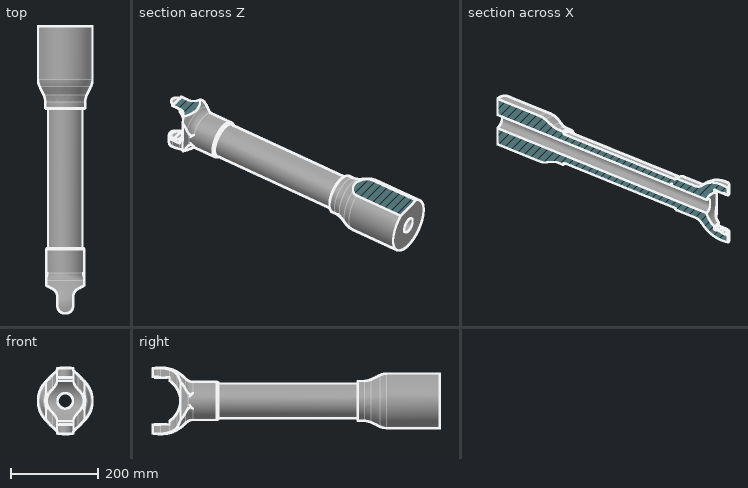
import cadquery as cq
import math


total_length = 659.5
bore_diameter = 35.0

ear_radius = 18.5
dome_radius = 77.0
ear_inner_height = 54.0
ear_step_y = 20.0
pad_diameter = 26.0
pad_height = 1.0

throat_radius = 55.0
throat_offset = 10.0
flank_angle = 28.0
flank_fillet = 20.5

socket_radius = 88.0 / 2
socket_end_y = 132.5
socket_chamfer_length = 4.0
socket_chamfer_depth = 2.0
root_fillet = 23.0
fade_slope = 3.5

tube_radius = 80.0 / 2
collar_radius = 92.0 / 2
collar_chamfer = 2.0
cup_radius = 126.0 / 2
cup_end_y = total_length - ear_radius
cup_length = 130.5
head_length = 189.5
collar_start_y = cup_end_y - head_length
cone_end_y = cup_end_y - cup_length
cone_angle = 26.0
cone_fillet = 36.0
cone_start_y = cone_end_y - (cup_radius - collar_radius) / math.tan(math.radians(cone_angle))


def rod(radius, y_start, y_end):
    """Solid cylinder on the Y axis."""
    return cq.Workplane("XZ", origin=(0, y_start, 0)).circle(radius).extrude(y_start - y_end)


def make_cup():
    """Collar, blended cone and cup."""
    profile = (
        cq.Workplane("XY")
        .moveTo(0, collar_start_y)
        .lineTo(collar_radius, collar_start_y)
        .lineTo(collar_radius, cone_start_y)
        .lineTo(cup_radius, cone_end_y)
        .lineTo(cup_radius, cup_end_y)
        .lineTo(0, cup_end_y)
        .close()
    )
    cup = profile.revolve(360, (0, 0, 0), (0, 1, 0))
    cup = cup.edges("%CIRCLE").edges("not(<Y or >Y)").fillet(cone_fillet)
    return cup.faces("<Y").edges().chamfer(collar_chamfer)


def make_socket():
    """Cylindrical fork socket with a tapered rim where it meets the tube."""
    socket = rod(socket_radius, 0, socket_end_y)
    return socket.faces(">Y").edges().chamfer(socket_chamfer_length, socket_chamfer_depth)


def make_root_blend():
    """Concave ring tangent to the socket cylinder and to the dome."""
    centre_r = socket_radius + root_fillet
    reach = dome_radius + root_fillet
    centre_y = math.sqrt(reach**2 - centre_r**2)
    tangent_r = centre_r * dome_radius / reach
    tangent_y = centre_y * dome_radius / reach
    middle_angle = math.atan2(centre_y, centre_r) / 2
    profile = (
        cq.Workplane("XY")
        .moveTo(0, tangent_y)
        .lineTo(tangent_r, tangent_y)
        .threePointArc(
            (
                centre_r - root_fillet * math.cos(middle_angle),
                centre_y - root_fillet * math.sin(middle_angle),
            ),
            (socket_radius, centre_y),
        )
        .lineTo(0, centre_y)
        .close()
    )
    ring = profile.revolve(360, (0, 0, 0), (0, 1, 0))

    flat_edge_radius = math.sqrt(dome_radius**2 - socket_radius**2)
    cone_rim_radius = flat_edge_radius + fade_slope * socket_radius
    double_cone = (
        cq.Workplane("XY")
        .moveTo(-socket_radius, 0)
        .lineTo(-socket_radius, flat_edge_radius)
        .lineTo(0, cone_rim_radius)
        .lineTo(socket_radius, flat_edge_radius)
        .lineTo(socket_radius, 0)
        .close()
        .revolve(360, (0, 0, 0), (1, 0, 0))
    )
    return ring.intersect(double_cone)


def make_fork_plan():
    """Prism of the fork outline: round ears, curved necks and sloped shoulders."""
    slope = math.radians(flank_angle)
    sweep = math.pi / 2 - slope
    fillet_centre_x = ear_radius + flank_fillet
    fillet_end_x = fillet_centre_x - flank_fillet * math.cos(sweep)
    fillet_end_y = ear_step_y + flank_fillet * math.sin(sweep)
    fillet_mid_x = fillet_centre_x - flank_fillet * math.cos(sweep / 2)
    fillet_mid_y = ear_step_y + flank_fillet * math.sin(sweep / 2)
    shoulder_y = fillet_end_y + (socket_radius - fillet_end_x) * math.tan(slope)
    outline = (
        cq.Workplane("XY")
        .moveTo(-ear_radius, 0)
        .threePointArc((0, -ear_radius), (ear_radius, 0))
        .lineTo(ear_radius, ear_step_y)
        .threePointArc((fillet_mid_x, fillet_mid_y), (fillet_end_x, fillet_end_y))
        .lineTo(socket_radius, shoulder_y)
        .lineTo(socket_radius, socket_end_y)
        .lineTo(-socket_radius, socket_end_y)
        .lineTo(-socket_radius, shoulder_y)
        .lineTo(-fillet_end_x, fillet_end_y)
        .threePointArc((-fillet_mid_x, fillet_mid_y), (-ear_radius, ear_step_y))
        .close()
    )
    return outline.extrude(dome_radius, both=True)


def make_fork():
    """Domed fork on its socket, with the throat and ear seats cut out."""
    body = cq.Workplane("XY").sphere(dome_radius).union(make_root_blend()).union(make_socket())
    fork = body.intersect(make_fork_plan())
    throat = (
        cq.Workplane("YZ")
        .center(-throat_offset, 0)
        .circle(throat_radius)
        .extrude(dome_radius, both=True)
    )
    seat_length = ear_step_y + dome_radius
    seat_gap = cq.Workplane("XY").box(2 * dome_radius, seat_length, 2 * ear_inner_height)
    fork = fork.cut(throat).cut(seat_gap.translate((0, ear_step_y - seat_length / 2, 0)))
    for side in (1, -1):
        pad = cq.Workplane("XY").circle(pad_diameter / 2).extrude(side * pad_height)
        fork = fork.union(pad.translate((0, 0, side * (ear_inner_height - pad_height))))
    return fork


shaft = rod(tube_radius, socket_end_y - socket_chamfer_length, collar_start_y + collar_chamfer)
bore = rod(bore_diameter / 2, 0, cup_end_y)
result = make_fork().union(shaft).union(make_cup()).cut(bore)